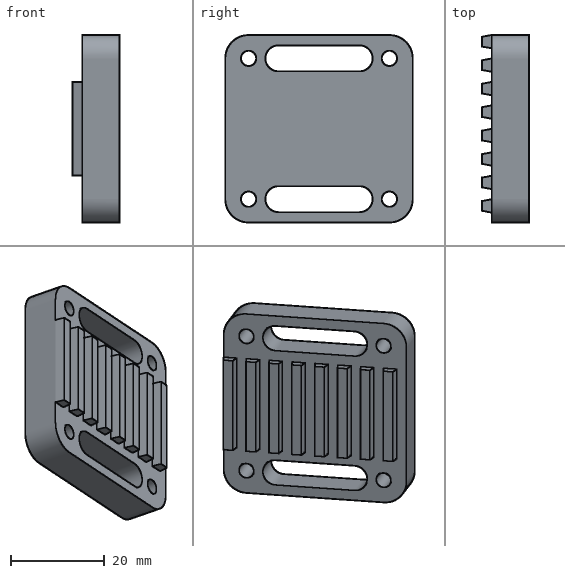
import cadquery as cq

side = 40.0
plate_thickness = 8.0
corner_radius = 5.0

hole_diameter = 3.2
hole_spacing = side - 2 * corner_radius

slot_length = 22.8
slot_width = 5.5

tooth_count = 8
tooth_pitch = side / tooth_count
tooth_height = 2.1
tooth_root_width = 2.9
tooth_tip_width = 2.1
tooth_length = side / 2


def make_plate():
    """Rounded square plate, centred on Y and Z, with its toothed face at X = 0."""
    plate = cq.Workplane("YZ").rect(side, side).extrude(plate_thickness)
    plate = plate.edges("|X").fillet(corner_radius)
    holes = (
        cq.Workplane("YZ")
        .rect(hole_spacing, hole_spacing, forConstruction=True)
        .vertices()
        .circle(hole_diameter / 2)
        .extrude(plate_thickness)
    )
    slots = (
        cq.Workplane("YZ")
        .pushPoints([(0, -hole_spacing / 2), (0, hole_spacing / 2)])
        .slot2D(slot_length, slot_width)
        .extrude(plate_thickness)
    )
    return plate.cut(holes).cut(slots)


def make_tooth(center_y):
    """Trapezoidal tooth running along Z and standing out from the -X face."""
    root = tooth_root_width / 2
    tip = tooth_tip_width / 2
    profile = [
        (0, center_y - root),
        (-tooth_height, center_y - tip),
        (-tooth_height, center_y + tip),
        (0, center_y + root),
    ]
    return cq.Workplane("XY").polyline(profile).close().extrude(tooth_length / 2, both=True)


result = make_plate()
first_tooth_y = side / 2 - tooth_root_width / 2
for index in range(tooth_count):
    result = result.union(make_tooth(first_tooth_y - index * tooth_pitch))